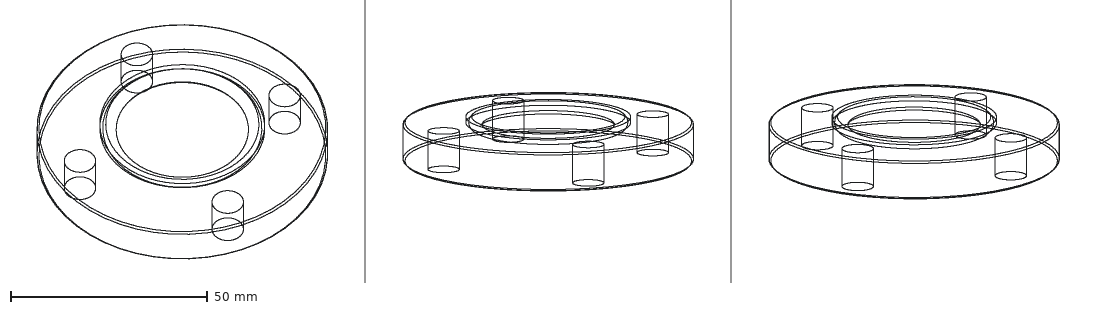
import cadquery as cq
import math

flange_diameter = 74.0
flange_thickness = 10.0
edge_chamfer = 0.5

face_diameter = 42.0
face_height = 1.5
recess_diameter = 39.0
floor_depth = 2.0
groove_radius = 1.75
groove_circle_diameter = 37.0

hole_diameter = 8.0
hole_count = 4
bolt_circle_diameter = 57.0

face_top = flange_thickness + face_height
floor_level = face_top - floor_depth


def flange_disc():
    disc = cq.Workplane("XY").circle(flange_diameter / 2).extrude(flange_thickness)
    return disc.edges().chamfer(edge_chamfer)


def raised_face():
    return cq.Workplane("XY").circle(face_diameter / 2).extrude(face_top)


def recess():
    """Revolved pocket: a flat floor circled by a concave groove that rises to the rim."""
    rim_radius = recess_diameter / 2
    groove_circle_radius = groove_circle_diameter / 2

    rim_offset = rim_radius - groove_circle_radius
    groove_center_level = face_top - math.sqrt(groove_radius**2 - rim_offset**2)
    groove_bottom = (groove_circle_radius, groove_center_level - groove_radius)

    floor_offset = math.sqrt(groove_radius**2 - (groove_center_level - floor_level) ** 2)
    floor_radius = groove_circle_radius - floor_offset

    return (
        cq.Workplane("XZ")
        .moveTo(0, floor_level)
        .lineTo(floor_radius, floor_level)
        .threePointArc(groove_bottom, (rim_radius, face_top))
        .lineTo(0, face_top)
        .close()
        .revolve(360, (0, 0, 0), (0, 1, 0))
    )


def bolt_holes():
    return (
        cq.Workplane("XY")
        .polarArray(bolt_circle_diameter / 2, 0, 360, hole_count)
        .circle(hole_diameter / 2)
        .extrude(flange_thickness)
    )


result = flange_disc().union(raised_face()).cut(recess()).cut(bolt_holes())